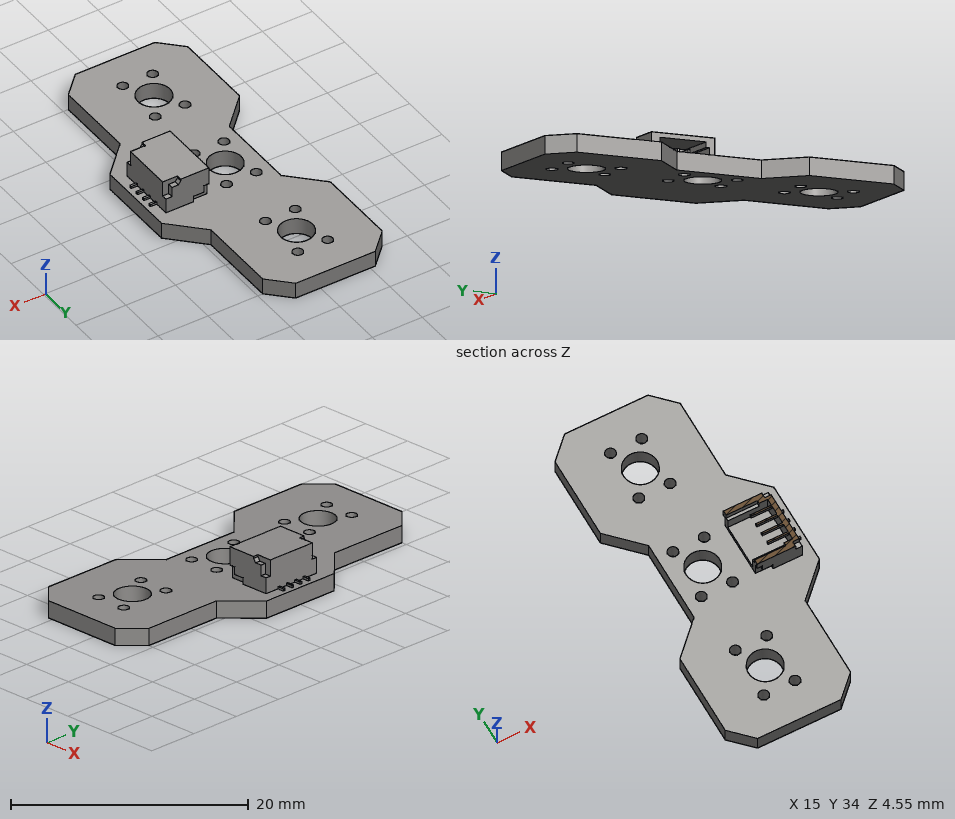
import cadquery as cq

board_length = 34.0
board_width = 15.0
board_thickness = 1.6
bay_width = 12.0
bay_shift = board_width - bay_width
corner_cut = 2.0
bay_flat = bay_width - 2 * corner_cut
bay_pitch = (board_length - bay_width) / 2

centre_hole_diameter = 3.2
pin_hole_diameter = 1.0
pin_hole_spacing_x = 3.0
pin_hole_spacing_y = 5.0

housing_length = 4.32
housing_width = 6.0
housing_height = 2.95
housing_front = 9.6
housing_back = housing_front + housing_length
housing_top = board_thickness + housing_height
side_wall = 0.8
floor_wall = 0.4
back_wall = 0.5
key_slot_depth = 0.3
key_slot_height = 0.6
key_slot_drop = 0.9
key_slot_length = 3.0

foot_notch_depth = 0.3
foot_notch_short = 0.5
foot_notch_long = 1.53
foot_notch_low = 0.58
foot_notch_high = 1.25
top_notch_depth = 0.5
top_notch_lip = 1.5
top_notch_long = 1.25
top_notch_wall = 0.17
top_notch_short = 0.6
top_notch_shallow = 0.5
top_notch_deep = 1.5

contact_count = 4
contact_pitch = 1.0
contact_width = 0.2
contact_height = 0.5
contact_drop = 1.05
contact_reach = 2.0
tail_length = 0.65
tail_thickness = 0.2

bay_centres = [(bay_width / 2, step * bay_pitch) for step in (-1, 0, 1)]


def box(x_range, y_range, z_range):
    """Axis-aligned block given by its lower and upper limits."""
    lows, highs = zip(x_range, y_range, z_range)
    size = [high - low for low, high in zip(lows, highs)]
    return cq.Workplane("XY").box(*size, centered=False).translate(lows)


def make_board():
    half_length = board_length / 2
    inner_y = bay_flat / 2
    bend_y = bay_pitch - bay_flat / 2
    shoulder_y = half_length - corner_cut
    right_side = [
        (bay_width - corner_cut, -half_length),
        (bay_width, -shoulder_y),
        (bay_width, -bend_y),
        (board_width, -inner_y),
    ]
    left_side = [
        (bay_shift, -inner_y),
        (0, -bend_y),
        (0, -shoulder_y),
        (corner_cut, -half_length),
    ]
    right_mirror = [(x, -y) for x, y in reversed(right_side)]
    left_mirror = [(x, -y) for x, y in reversed(left_side)]
    outline = right_side + right_mirror + left_mirror + left_side
    board = cq.Workplane("XY").polyline(outline).close().extrude(board_thickness)

    pin_holes = [
        (x + side_x * pin_hole_spacing_x / 2, y + side_y * pin_hole_spacing_y / 2)
        for x, y in bay_centres
        for side_x in (-1, 1)
        for side_y in (-1, 1)
    ]
    board = board.faces(">Z").workplane(origin=(0, 0, 0)).pushPoints(bay_centres).hole(centre_hole_diameter)
    return board.faces(">Z").workplane(origin=(0, 0, 0)).pushPoints(pin_holes).hole(pin_hole_diameter)


def side_notches(profile, depth):
    """Cutters with an XZ profile, reaching inwards from both housing sides."""
    cutter = cq.Workplane("XZ", origin=(0, -housing_width / 2, 0))
    cutter = cutter.polyline(profile).close().extrude(-depth)
    return cutter.union(cutter.mirror("XZ"))


def make_housing():
    half_width = housing_width / 2
    half_cavity = half_width - side_wall
    half_slot = half_cavity + key_slot_depth
    slot_top = housing_top - key_slot_drop
    cavity_run = (housing_front, housing_back - back_wall)
    slot_run = (housing_front, housing_front + key_slot_length)

    body = box((housing_front, housing_back), (-half_width, half_width), (board_thickness, housing_top))
    cavity = box(
        cavity_run, (-half_cavity, half_cavity), (board_thickness + floor_wall, housing_top - floor_wall)
    )
    key_slots = box(slot_run, (-half_slot, half_slot), (slot_top - key_slot_height, slot_top))

    foot_profile = [
        (housing_front, board_thickness),
        (housing_front + foot_notch_long, board_thickness),
        (housing_front + foot_notch_long, board_thickness + foot_notch_low),
        (housing_front + foot_notch_short, board_thickness + foot_notch_low),
        (housing_front + foot_notch_short, board_thickness + foot_notch_high),
        (housing_front, board_thickness + foot_notch_high),
    ]
    top_profile = [
        (housing_back, housing_top),
        (housing_back - top_notch_lip, housing_top),
        (housing_back - top_notch_lip, housing_top - top_notch_wall),
        (housing_back - top_notch_long, housing_top - top_notch_shallow),
        (housing_back - top_notch_short, housing_top - top_notch_shallow),
        (housing_back - top_notch_short, housing_top - top_notch_deep),
        (housing_back, housing_top - top_notch_deep),
    ]
    body = body.cut(cavity).cut(key_slots)
    body = body.cut(side_notches(foot_profile, foot_notch_depth))
    return body.cut(side_notches(top_profile, top_notch_depth))


def make_contact(y):
    """Blade inside the cavity and flat tail behind the housing."""
    y_range = (y - contact_width / 2, y + contact_width / 2)
    blade_back = housing_back - back_wall
    blade_middle = housing_top - contact_drop
    blade = box(
        (blade_back - contact_reach, blade_back),
        y_range,
        (blade_middle - contact_height / 2, blade_middle + contact_height / 2),
    )
    tail = box(
        (housing_back, housing_back + tail_length),
        y_range,
        (board_thickness, board_thickness + tail_thickness),
    )
    return blade.union(tail)


result = make_board().union(make_housing())
for index in range(contact_count):
    contact_y = (index - (contact_count - 1) / 2) * contact_pitch
    result = result.union(make_contact(contact_y))